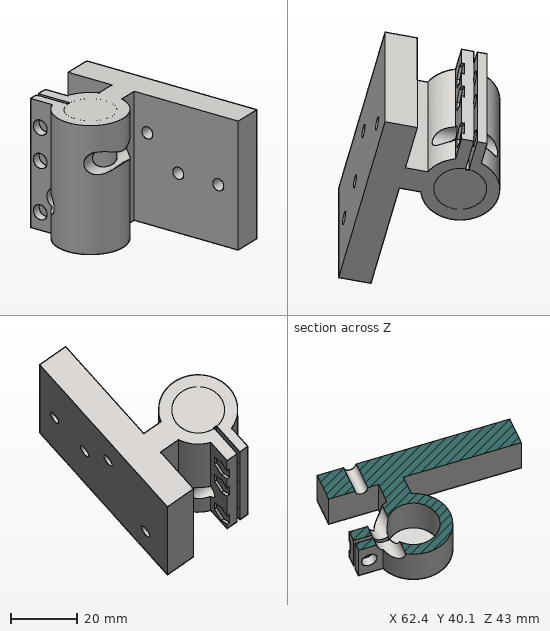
import cadquery as cq

length = 62.4
depth = 40.1
height = 43.0
plate_thickness = 10.05
plate_front = depth - plate_thickness

barrel_radius = 12.0
barrel_x = 20.6
barrel_y = barrel_radius
cavity_diameter = 16.0
cap_thickness = 0.3

web_left = 16.1
web_width = 8.2
web_front = depth / 2

jaw_left = 1.3
jaw_front = 8.05
jaw_back = 16.05
slit_width = 1.05
slit_y = 11.7
slit_end = 12.75

clamp_hole_diameter = 5.0
clamp_hole_x = 4.9
clamp_hole_heights = (6.0, 23.1, 34.2)
nut_width = 6.9
nut_x = 4.05
nut_heights = (5.4, 23.05, 33.95)
nut_depth = 0.9

screw_diameter = 4.0
lower_screw = (10.7, 12.0)
upper_screw = (29.1, 30.4)
side_screws = ((40.45, 19.9), (55.1, 19.9))
lower_bore = (10.8, 12.1)
lower_bore_diameter = 6.9
upper_bore = (29.4, 30.35)
upper_bore_diameter = 7.55


def box(x0, x1, y0, y1, z0=0.0, z1=height):
    """Box between opposite corners."""
    return cq.Workplane("XY").box(x1 - x0, y1 - y0, z1 - z0, centered=False).translate((x0, y0, z0))


def bore_along_y(diameter, x, z, y0, y1):
    """Round cutter parallel to Y."""
    start = cq.Workplane("XZ", origin=(x, y0, z))
    return start.circle(diameter / 2).extrude(y0 - y1)


def upright_cylinder(diameter, z0, z1):
    """Cylinder on the barrel axis."""
    return cq.Workplane("XY", origin=(barrel_x, barrel_y, z0)).circle(diameter / 2).extrude(z1 - z0)


def nut_pocket(z):
    """Hexagonal pocket, with two upright flats, in the rear face of the back jaw."""
    start = cq.Workplane("XZ", origin=(nut_x, jaw_back, z))
    return start.polygon(6, nut_width, circumscribed=True).extrude(nut_depth)


body = box(0, length, plate_front, depth)
body = body.union(upright_cylinder(2 * barrel_radius, 0, height))
body = body.union(box(jaw_left, barrel_x, jaw_front, jaw_back))
body = body.union(box(web_left, web_left + web_width, web_front, plate_front))

body = body.cut(upright_cylinder(cavity_diameter, cap_thickness, height - cap_thickness))
body = body.cut(box(jaw_left, slit_end, slit_y - slit_width / 2, slit_y + slit_width / 2))

for z in clamp_hole_heights:
    body = body.cut(bore_along_y(clamp_hole_diameter, clamp_hole_x, z, jaw_front, slit_y))
for z in nut_heights:
    body = body.cut(nut_pocket(z))

body = body.cut(bore_along_y(lower_bore_diameter, *lower_bore, 0, plate_front))
body = body.cut(bore_along_y(upper_bore_diameter, *upper_bore, 0, plate_front))
for x, z in (lower_screw, upper_screw, *side_screws):
    body = body.cut(bore_along_y(screw_diameter, x, z, plate_front, depth))

result = body